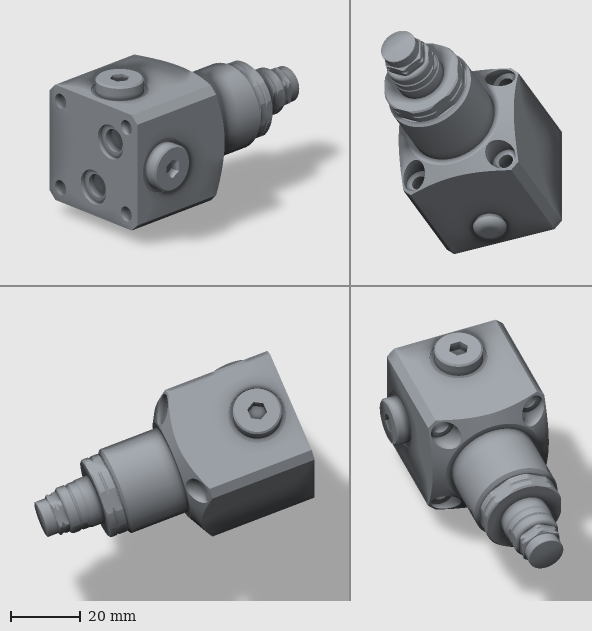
import cadquery as cq
import math


BLOCK_SIDE = 36.0
BLOCK_LENGTH = 37.0
EDGE_CHAMFER = 2.3
HALF_SIDE = BLOCK_SIDE / 2
TURNED_FACE_RADIUS = 14.7
TURNED_CONE_ANGLE = 30.0

SCREW_PITCH = 27.0
SCREW_HOLE_DIAMETER = 4.5
SCREW_HEAD_DIAMETER = 8.0
SCREW_HEAD_DEPTH = 6.5

PORT_CENTRES = [(7.0, 7.0), (0.0, -9.2)]
SEAL_DIAMETER = 10.5
SEAL_DEPTH = 1.5
PORT_DIAMETER = 7.0
PORT_DEPTH = SEAL_DEPTH + 2.2

PLUG_Y = 10.5
PLUG_DIAMETER = 14.0
PLUG_HEIGHT = 3.81
PLUG_CHAMFER = 0.5
SPOTFACE_DIAMETER = 16.6
SPOTFACE_DEPTH = 0.3
SOCKET_FLATS = 5.0
SOCKET_DEPTH = 3.0

BUTTON_STEM_DIAMETER = 8.4
BUTTON_STEM_HEIGHT = 1.4
BUTTON_HEAD_DIAMETER = 9.7
BUTTON_HEAD_HEIGHT = 2.38
BUTTON_ROUND = 2.37

BARREL_RADIUS = 12.87
BARREL_CHAMFER_START = 54.4
BARREL_END = 55.25
BARREL_CHAMFER_END_RADIUS = 11.7
RELIEF_RADIUS = 11.4

NUT_START = 55.35
NUT_FLATS_START = 55.7
NUT_END = 60.75
NUT_RADIUS = 11.93
NUT_FLATS = 22.9
NUT_CHAMFER = 0.45
NUT_GROOVE_Y = 58.2
NUT_GROOVE_BOTTOM = 11.6

SLEEVE_RADIUS = 7.24
SLEEVE_CHAMFER_START = 64.5
COLLAR_START = 64.9
COLLAR_RADIUS = 7.0
COLLAR_END = 70.9
COLLAR_ROUND = 1.15
COLLAR_FLATS = 13.0
COLLAR_FLATS_START = 66.3
COLLAR_FLATS_RUNOUT = 0.9
COLLAR_GROOVE_Y = 67.5
COLLAR_GROOVE_BOTTOM = 6.67

LOCKNUT_END = 74.2
LOCKNUT_FLATS = 11.0
LOCKNUT_RADIUS = 6.2
LOCKNUT_BASE_CHAMFER = 0.2
LOCKNUT_CONE_START = 73.8
LOCKNUT_END_RADIUS = 5.4
LOCKNUT_GROOVE_Y = 72.65
LOCKNUT_GROOVE_BOTTOM = 5.8

CAP_NECK_RADIUS = 5.2
CAP_START = 74.5
CAP_RADIUS = 5.35
CAP_CHAMFER = 0.15
CAP_RIM_END = 77.55
TOTAL_LENGTH = 77.98

GROOVE_RADIUS = 0.5
LOCKNUT_GROOVE_RADIUS = 0.6
OVERLAP = 1.0


def turned(points):
    """Solid of revolution about the Y axis from (radius, y) points."""
    return cq.Workplane("XY").polyline(points).close().revolve(360, (0, 0, 0), (0, 1, 0))


def plane_at(y):
    """Plane at the given Y, local x = X and local y = Z, normal along -Y."""
    return cq.Workplane("XZ", origin=(0, y, 0))


def hexagon_bar(flats, y_start, y_end):
    """Hexagonal bar along Y with two of its flats facing -X and +X."""
    corners = flats / math.cos(math.radians(30))
    bar = plane_at(0).polygon(6, corners).extrude(-(y_end - y_start))
    return bar.rotate((0, 0, 0), (0, 1, 0), 30).translate((0, y_start, 0))


def ring_groove(y, bottom_radius, groove_radius):
    """Ring that cuts a round-bottomed groove about the Y axis."""
    section = cq.Workplane("XY").center(bottom_radius + groove_radius, y).circle(groove_radius)
    axis_x = -(bottom_radius + groove_radius)
    return section.revolve(360, (axis_x, 0, 0), (axis_x, 1, 0))


def make_block():
    body = plane_at(0).rect(BLOCK_SIDE, BLOCK_SIDE).extrude(-BLOCK_LENGTH)
    body = body.edges("|Y").chamfer(EDGE_CHAMFER)
    corner_radius = math.hypot(HALF_SIDE, HALF_SIDE)
    cone_depth = (corner_radius - TURNED_FACE_RADIUS) * math.tan(math.radians(TURNED_CONE_ANGLE))
    envelope = turned([
        (0, 0),
        (corner_radius, 0),
        (corner_radius, BLOCK_LENGTH - cone_depth),
        (TURNED_FACE_RADIUS, BLOCK_LENGTH),
        (0, BLOCK_LENGTH),
    ])
    return body.intersect(envelope)


def cut_screw_holes(body):
    holes = plane_at(0).rect(SCREW_PITCH, SCREW_PITCH, forConstruction=True).vertices()
    body = body.cut(holes.circle(SCREW_HOLE_DIAMETER / 2).extrude(-BLOCK_LENGTH))
    heads = plane_at(BLOCK_LENGTH).rect(SCREW_PITCH, SCREW_PITCH, forConstruction=True).vertices()
    return body.cut(heads.circle(SCREW_HEAD_DIAMETER / 2).extrude(SCREW_HEAD_DEPTH))


def cut_ports(body):
    for diameter, depth in ((SEAL_DIAMETER, SEAL_DEPTH), (PORT_DIAMETER, PORT_DEPTH)):
        bores = plane_at(0).pushPoints(PORT_CENTRES).circle(diameter / 2).extrude(-depth)
        body = body.cut(bores)
    return body


def add_plug(body, face):
    """Socket plug in a shallow spotface; the face plane's normal points outwards."""
    spotface = cq.Workplane(face).circle(SPOTFACE_DIAMETER / 2).extrude(-SPOTFACE_DEPTH)
    plug = (
        cq.Workplane(face).workplane(offset=-SPOTFACE_DEPTH)
        .circle(PLUG_DIAMETER / 2).extrude(SPOTFACE_DEPTH + PLUG_HEIGHT)
        .faces(cq.selectors.DirectionMinMaxSelector(face.zDir, True)).chamfer(PLUG_CHAMFER)
    )
    socket_corners = SOCKET_FLATS / math.cos(math.radians(30))
    socket = (
        cq.Workplane(face).workplane(offset=PLUG_HEIGHT)
        .polygon(6, socket_corners).extrude(-SOCKET_DEPTH)
    )
    return body.cut(spotface).union(plug).cut(socket)


def make_button():
    stem = cq.Workplane("XY").circle(BUTTON_STEM_DIAMETER / 2).extrude(-BUTTON_STEM_HEIGHT)
    head = (
        cq.Workplane("XY").workplane(offset=-BUTTON_STEM_HEIGHT)
        .circle(BUTTON_HEAD_DIAMETER / 2).extrude(-BUTTON_HEAD_HEIGHT)
        .faces("<Z").edges().fillet(BUTTON_ROUND)
    )
    return stem.union(head).translate((0, PLUG_Y, -HALF_SIDE))


def make_barrel():
    return turned([
        (0, BLOCK_LENGTH - OVERLAP),
        (BARREL_RADIUS, BLOCK_LENGTH - OVERLAP),
        (BARREL_RADIUS, BARREL_CHAMFER_START),
        (BARREL_CHAMFER_END_RADIUS, BARREL_END),
        (RELIEF_RADIUS, BARREL_END),
        (RELIEF_RADIUS, NUT_START + OVERLAP),
        (0, NUT_START + OVERLAP),
    ])


def make_nut():
    nut = turned([
        (0, NUT_START),
        (NUT_FLATS / 2, NUT_START),
        (NUT_RADIUS, NUT_FLATS_START),
        (NUT_RADIUS, NUT_END - NUT_CHAMFER),
        (NUT_RADIUS - NUT_CHAMFER, NUT_END),
        (0, NUT_END),
    ])
    base = plane_at(NUT_START).circle(NUT_RADIUS).extrude(NUT_START - NUT_FLATS_START)
    hexagon = hexagon_bar(NUT_FLATS, NUT_FLATS_START, NUT_END)
    nut = nut.intersect(hexagon.union(base))
    return nut.cut(ring_groove(NUT_GROOVE_Y, NUT_GROOVE_BOTTOM, GROOVE_RADIUS))


def make_sleeve():
    """Sleeve and collar in one turned body, with a rounded collar end."""
    arc_centre = (COLLAR_RADIUS - COLLAR_ROUND, COLLAR_END - COLLAR_ROUND)
    arc_offset = COLLAR_ROUND * math.sqrt(0.5)
    profile = (
        cq.Workplane("XY")
        .moveTo(0, NUT_END - OVERLAP)
        .lineTo(SLEEVE_RADIUS, NUT_END - OVERLAP)
        .lineTo(SLEEVE_RADIUS, SLEEVE_CHAMFER_START)
        .lineTo(COLLAR_RADIUS, COLLAR_START)
        .lineTo(COLLAR_RADIUS, COLLAR_END - COLLAR_ROUND)
        .threePointArc(
            (arc_centre[0] + arc_offset, arc_centre[1] + arc_offset),
            (COLLAR_RADIUS - COLLAR_ROUND, COLLAR_END),
        )
        .lineTo(0, COLLAR_END)
        .close()
    )
    return profile.revolve(360, (0, 0, 0), (0, 1, 0))


def cut_collar(body):
    """Two flats facing -X and +X with sloped run-outs, and a ring groove."""
    flat_x = COLLAR_FLATS / 2
    runout_depth = COLLAR_RADIUS - flat_x
    for side in (-1, 1):
        flat = (
            cq.Workplane("XY")
            .polyline([
                (side * flat_x, COLLAR_END),
                (side * flat_x, COLLAR_FLATS_START),
                (side * (flat_x + runout_depth), COLLAR_FLATS_START - COLLAR_FLATS_RUNOUT),
                (side * (flat_x + runout_depth), COLLAR_END),
            ])
            .close().extrude(COLLAR_RADIUS, both=True)
        )
        body = body.cut(flat)
    return body.cut(ring_groove(COLLAR_GROOVE_Y, COLLAR_GROOVE_BOTTOM, GROOVE_RADIUS))


def make_locknut():
    start = COLLAR_END - OVERLAP
    base_radius = LOCKNUT_RADIUS - LOCKNUT_BASE_CHAMFER
    envelope = turned([
        (0, start),
        (base_radius, start),
        (base_radius, COLLAR_END),
        (LOCKNUT_RADIUS, COLLAR_END + LOCKNUT_BASE_CHAMFER),
        (LOCKNUT_RADIUS, LOCKNUT_CONE_START),
        (LOCKNUT_END_RADIUS, LOCKNUT_END),
        (0, LOCKNUT_END),
    ])
    nut = hexagon_bar(LOCKNUT_FLATS, start - OVERLAP, LOCKNUT_END + OVERLAP).intersect(envelope)
    return nut.cut(ring_groove(LOCKNUT_GROOVE_Y, LOCKNUT_GROOVE_BOTTOM, LOCKNUT_GROOVE_RADIUS))


def make_cap():
    dome_radius = CAP_RADIUS - CAP_CHAMFER
    dome_height = TOTAL_LENGTH - CAP_RIM_END
    sphere_radius = (dome_radius**2 + dome_height**2) / (2 * dome_height)
    mid_radius = dome_radius / 2
    mid_drop = sphere_radius - math.sqrt(sphere_radius**2 - mid_radius**2)
    profile = (
        cq.Workplane("XY")
        .moveTo(0, LOCKNUT_END - OVERLAP)
        .lineTo(CAP_NECK_RADIUS, LOCKNUT_END - OVERLAP)
        .lineTo(CAP_NECK_RADIUS, CAP_START)
        .lineTo(CAP_RADIUS, CAP_START)
        .lineTo(CAP_RADIUS, CAP_RIM_END - CAP_CHAMFER)
        .lineTo(dome_radius, CAP_RIM_END)
        .threePointArc((mid_radius, TOTAL_LENGTH - mid_drop), (0, TOTAL_LENGTH))
        .close()
    )
    return profile.revolve(360, (0, 0, 0), (0, 1, 0))


def make_cartridge():
    sleeve = cut_collar(make_sleeve())
    return make_barrel().union(make_nut()).union(sleeve).union(make_locknut()).union(make_cap())


TOP_FACE = cq.Plane(origin=(0, PLUG_Y, HALF_SIDE), xDir=(1, 0, 0), normal=(0, 0, 1))
RIGHT_FACE = cq.Plane(origin=(HALF_SIDE, PLUG_Y, 0), xDir=(0, 0, 1), normal=(1, 0, 0))

valve = cut_ports(cut_screw_holes(make_block()))
valve = valve.union(make_cartridge()).union(make_button())
for plug_face in (TOP_FACE, RIGHT_FACE):
    valve = add_plug(valve, plug_face)

result = valve